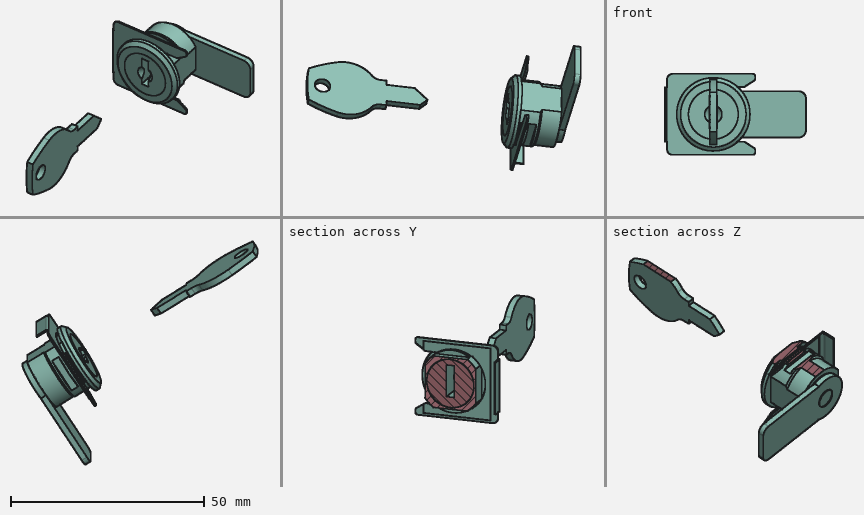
import cadquery as cq
import math


FLANGE_RADIUS = 9.5
FLANGE_THICKNESS = 2.0
FLANGE_CHAMFER = 1.0
BARREL_RADIUS = 8.0
BARREL_LENGTH = 12.85
COLLAR_RADIUS = 8.45
COLLAR_END = 7.3
FLAT_HALF_WIDTH = 7.05
CLIP_SLOT_START = 2.65
REAR_SLOT_START = 4.7
REAR_SLOT_END = 6.7

CORE_RADIUS = 6.4
CORE_LENGTH = 13.05
SPINDLE_RADIUS = 2.5
SPINDLE_PROTRUSION = 0.2
KEYHOLE_WIDTH = 2.0
KEYHOLE_HEIGHT = 8.45
KEYHOLE_DEPTH = 10.8
KEYHOLE_CONE_RADIUS = 2.2

CAM_RADIUS = 6.5
CAM_THICKNESS = 1.6
CAM_ARM_HALF_HEIGHT = 6.0
CAM_ARM_END = 23.95
CAM_CORNER_RADIUS = 2.0

CLIP_HALF_HEIGHT = 10.5
CLIP_LEFT = -12.0
CLIP_RIGHT = 10.8
CLIP_FRONT = 3.05
CLIP_THICKNESS = 0.4
CLIP_CORNER_RADIUS = 1.5
CLIP_TIP_RADIUS = 0.7
MOUTH_END_RADIUS = 8.6
MOUTH_BEVEL_START = 8.0
MOUTH_BEVEL_END_HEIGHT = 8.85
TAB_OUTER = -12.5
TAB_END = 6.55
TAB_BEND_RADIUS = 0.6
PAD_LEFT = -10.0
PAD_RIGHT = 8.5
PAD_HALF_HEIGHT = 9.75
PAD_THICKNESS = 0.2

KEY_AXIS_HEIGHT = 0.6
KEY_LENGTH = 31.6
KEY_THICKNESS = 1.8
TOTAL_DEPTH = 67.7
BLADE_HALF_HEIGHT = 2.65
BLADE_TIP_HEIGHT = -0.75
SHOULDER_START = 10.75
NECK_HALF_HEIGHT = 4.0
BOW_RADIUS = 8.45
BOW_CENTER = 21.4
NECK_FILLET = 2.85
BOW_ARC_END = 23.7
BOW_CORNER = 31.2
BOW_CORNER_HALF_HEIGHT = 5.1
KEY_RING_HOLE_CENTER = 27.6
KEY_RING_HOLE_RADIUS = 2.0

CLIP_BACK = CLIP_FRONT + CLIP_THICKNESS
CLIP_SLOT_END = CLIP_BACK + PAD_THICKNESS
CAM_BACK = CORE_LENGTH + CAM_THICKNESS
SPINDLE_END = CAM_BACK + SPINDLE_PROTRUSION
KEY_TIP = SPINDLE_END - TOTAL_DEPTH + KEY_LENGTH


def block(x_range, y_range, z_range):
    """Box between the low and high ends of each (low, high) range."""
    sizes = [high - low for low, high in (x_range, y_range, z_range)]
    corner = (x_range[0], y_range[0], z_range[0])
    return cq.Workplane("XY").box(*sizes, centered=False).translate(corner)


def disc(radius, start, end):
    """Cylinder on the lock axis between two depths."""
    return cq.Workplane("XZ", origin=(0, start, 0)).circle(radius).extrude(start - end)


def make_housing():
    collar_taper = COLLAR_RADIUS - BARREL_RADIUS
    barrel = disc(BARREL_RADIUS, FLANGE_THICKNESS, BARREL_LENGTH)
    collar = disc(COLLAR_RADIUS, FLANGE_THICKNESS, COLLAR_END + collar_taper)
    collar = collar.faces(">Y").chamfer(collar_taper)
    body = barrel.union(collar)

    reach = FLANGE_RADIUS
    for side in (-1, 1):
        outside = sorted((side * FLAT_HALF_WIDTH, side * reach))
        body = body.cut(block(outside, (FLANGE_THICKNESS, BARREL_LENGTH), (-reach, reach)))
        for slot in ((CLIP_SLOT_START, CLIP_SLOT_END), (REAR_SLOT_START, REAR_SLOT_END)):
            body = body.cut(block((-reach, reach), slot, outside))

    flange = disc(FLANGE_RADIUS, 0, FLANGE_THICKNESS).faces("<Y").chamfer(FLANGE_CHAMFER)
    return body.union(flange).cut(disc(CORE_RADIUS, 0, BARREL_LENGTH))


def make_core():
    core = disc(CORE_RADIUS, 0, CORE_LENGTH).union(disc(SPINDLE_RADIUS, CORE_LENGTH, SPINDLE_END))
    keyhole = block(
        (-KEYHOLE_WIDTH / 2, KEYHOLE_WIDTH / 2),
        (0, KEYHOLE_DEPTH),
        (KEY_AXIS_HEIGHT - KEYHOLE_HEIGHT / 2, KEY_AXIS_HEIGHT + KEYHOLE_HEIGHT / 2),
    )
    cone = cq.Solid.makeCone(
        KEYHOLE_CONE_RADIUS, 0, KEYHOLE_CONE_RADIUS, pnt=cq.Vector(0, 0, 0), dir=cq.Vector(0, 1, 0)
    )
    return core.cut(keyhole).cut(cq.Workplane(cone))


def make_cam():
    depth = (CORE_LENGTH, CAM_BACK)
    arm = block((0, CAM_ARM_END), depth, (-CAM_ARM_HALF_HEIGHT, CAM_ARM_HALF_HEIGHT))
    arm = arm.edges("|Y and >X").fillet(CAM_CORNER_RADIUS)
    return disc(CAM_RADIUS, *depth).union(arm).cut(disc(SPINDLE_RADIUS, *depth))


def make_clip():
    mouth_corner = -math.sqrt(MOUTH_END_RADIUS ** 2 - FLAT_HALF_WIDTH ** 2)
    upper_outline = [
        (CLIP_LEFT, CLIP_HALF_HEIGHT),
        (CLIP_RIGHT, CLIP_HALF_HEIGHT),
        (CLIP_RIGHT, MOUTH_BEVEL_END_HEIGHT),
        (MOUTH_BEVEL_START, FLAT_HALF_WIDTH),
        (mouth_corner, FLAT_HALF_WIDTH),
    ]
    lower_outline = [(x, -z) for x, z in reversed(upper_outline)]
    plate = (
        cq.Workplane("XZ", origin=(0, CLIP_FRONT, 0))
        .polyline(upper_outline)
        .threePointArc((-MOUTH_END_RADIUS, 0), lower_outline[0])
        .polyline(lower_outline, includeCurrent=False)
        .close()
        .extrude(CLIP_FRONT - CLIP_SLOT_END)
    )
    plate = plate.edges("|Y and <X").fillet(CLIP_CORNER_RADIUS)
    plate = plate.edges("|Y and >X").fillet(CLIP_TIP_RADIUS)

    pad = block(
        (PAD_LEFT, PAD_RIGHT), (CLIP_BACK, CLIP_SLOT_END), (-PAD_HALF_HEIGHT, PAD_HALF_HEIGHT)
    )
    everywhere = (-2 * CLIP_HALF_HEIGHT, 2 * CLIP_HALF_HEIGHT)
    behind = block(everywhere, (CLIP_BACK, CLIP_SLOT_END), everywhere)
    plate = plate.cut(behind.cut(pad))

    tab_height = (-FLAT_HALF_WIDTH, FLAT_HALF_WIDTH)
    tab_inner = TAB_OUTER + CLIP_THICKNESS
    web = block((TAB_OUTER, PAD_LEFT), (CLIP_FRONT, CLIP_BACK), tab_height)
    tab = block((TAB_OUTER, tab_inner), (CLIP_FRONT, TAB_END), tab_height)
    bend = web.union(tab)
    bend = bend.edges("|Z and <X and <Y").fillet(TAB_BEND_RADIUS)
    inner_corner = cq.selectors.NearestToPointSelector((tab_inner, CLIP_BACK, 0))
    bend = bend.edges(inner_corner).fillet(TAB_BEND_RADIUS - CLIP_THICKNESS)
    return plate.union(bend)


def make_half_bow(plane):
    """Upper half of the grip, from the shoulder round to the rear end of the key."""
    fillet_rise = NECK_HALF_HEIGHT + NECK_FILLET
    fillet_run = math.sqrt((BOW_RADIUS + NECK_FILLET) ** 2 - fillet_rise ** 2)
    meeting = BOW_RADIUS / (BOW_RADIUS + NECK_FILLET)
    fillet_end = (BOW_CENTER - fillet_run * meeting, fillet_rise * meeting)

    bow_arc_end_height = math.sqrt(BOW_RADIUS ** 2 - (BOW_ARC_END - BOW_CENTER) ** 2)

    end_bulge = KEY_LENGTH - BOW_CORNER
    end_radius = (BOW_CORNER_HALF_HEIGHT ** 2 + end_bulge ** 2) / (2 * end_bulge)
    mid_angle = math.asin(BOW_CORNER_HALF_HEIGHT / end_radius) / 2
    end_arc_middle = (
        KEY_LENGTH - end_radius * (1 - math.cos(mid_angle)),
        end_radius * math.sin(mid_angle),
    )
    return (
        cq.Workplane(plane)
        .moveTo(SHOULDER_START, 0)
        .lineTo(SHOULDER_START, NECK_HALF_HEIGHT)
        .lineTo(BOW_CENTER - fillet_run, NECK_HALF_HEIGHT)
        .tangentArcPoint(fillet_end, relative=False)
        .threePointArc((BOW_CENTER, BOW_RADIUS), (BOW_ARC_END, bow_arc_end_height))
        .tangentArcPoint((BOW_CORNER, BOW_CORNER_HALF_HEIGHT), relative=False)
        .threePointArc(end_arc_middle, (KEY_LENGTH, 0))
        .close()
        .extrude(KEY_THICKNESS)
    )


def make_key():
    plane = cq.Plane(
        origin=(KEY_THICKNESS / 2, KEY_TIP, KEY_AXIS_HEIGHT), xDir=(0, -1, 0), normal=(-1, 0, 0)
    )
    upper_bow = make_half_bow(plane)
    lower_bow = upper_bow.mirror("XY", (0, 0, KEY_AXIS_HEIGHT))

    blade = (
        cq.Workplane(plane)
        .moveTo(0, BLADE_TIP_HEIGHT)
        .lineTo(BLADE_HALF_HEIGHT - BLADE_TIP_HEIGHT, BLADE_HALF_HEIGHT)
        .lineTo(SHOULDER_START, BLADE_HALF_HEIGHT)
        .lineTo(SHOULDER_START, -BLADE_HALF_HEIGHT)
        .lineTo(BLADE_HALF_HEIGHT + BLADE_TIP_HEIGHT, -BLADE_HALF_HEIGHT)
        .close()
        .extrude(KEY_THICKNESS)
    )
    ring_hole = (
        cq.Workplane(plane)
        .center(KEY_RING_HOLE_CENTER, 0)
        .circle(KEY_RING_HOLE_RADIUS)
        .extrude(KEY_THICKNESS)
    )
    return upper_bow.union(lower_bow).union(blade).cut(ring_hole).clean()


housing = make_housing()
core = make_core()
cam = make_cam()
clip = make_clip()
key = make_key()

result = cq.Compound.makeCompound([housing.val(), core.val(), cam.val(), clip.val(), key.val()])